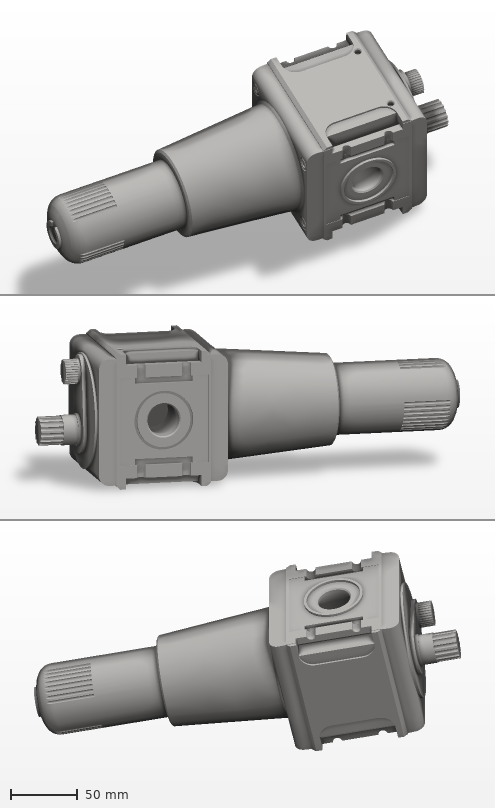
import cadquery as cq
import math


body_half_width = 50.0
body_half_height = 51.5
body_half_length = 36.5
shoulder_half_height = 49.0
shoulder_slope_run = 3.0
ridge_inset = 0.3

cap_half_length = 49.5
cap_half_height = 48.3
cap_root_half_width = 49.1
cap_tip_half_width = 48.45
cap_corner_radius = 7.7

seat_half_length = 29.0
seat_inner_x = 28.5
seat_floor_z = 50.0
seat_corner_radius = 11.0
slot_wall_x = 38.3
slot_floor_x = 42.5
slot_floor_z = 36.5
lip_edge_x = 44.0
lip_z = 43.0
notch_half_length = 22.2
notch_bottom_z = 28.5
notch_depth = 3.2
clamp_groove_diameter = 6.8
clamp_groove_y = 17.5

face_half_length = 34.0
face_half_height = 33.5
face_recess = 0.3
port_diameter = 24.5
port_depth = 38.5
port_chamfer = 1.0
seal_outer_diameter = 45.0
seal_inner_diameter = 41.0
seal_groove_depth = 2.0
seal_projection = 1.5

vent_diameter = 4.8
vent_mouth_diameter = 6.5
vent_depth = 4.8
vent_x = 29.0
vent_y = 28.5

screw_x = 42.0
screw_z = 33.0
screw_bore_diameter = 11.0
screw_head_diameter = 9.0
screw_bore_depth = 3.2
screw_socket_size = 6.5

guard_flare_radius = 44.28
guard_root_radius = 42.2
guard_flare_length = 2.0
guard_tip_radius = 34.6
guard_rim_radius = 32.68
guard_end_y = -139.0
guard_rim_length = 1.3
bowl_radius = 27.0
bowl_round_start_y = -221.5
dome_radius = 21.75
dome_start_y = -231.5
drain_radius = 11.3
drain_root_y = -235.0
bowl_end_y = -237.0
drain_bore_diameter = 14.2
drain_key_width = 5.5

grip_start_y = -190.3
grip_end_y = -227.0
grip_patch_angles = (90, 210, 330)
grip_flutes = 8
grip_flute_pitch = 8.2
grip_flute_diameter = 2.3

cover_radius = 43.8
cover_thickness = 2.0
plate_thickness = 3.0
adjuster_z = -14.2
adjuster_plate_radius = 18.0
filler_z = 30.3
filler_plate_radius = 12.72

adjuster_flange_diameter = 24.5
adjuster_flange_thickness = 2.3
adjuster_sleeve_diameter = 23.0
adjuster_sleeve_end_y = 67.5
adjuster_grip_diameter = 22.0
adjuster_end_y = 85.0
adjuster_flutes = 15
adjuster_flute_diameter = 3.0

filler_diameter = 19.0
filler_grip_start_y = 56.0
filler_end_y = 65.7
filler_flutes = 30
filler_flute_diameter = 1.3


def box(x_range, y_range, z_range):
    size = [end - start for start, end in (x_range, y_range, z_range)]
    corner = (x_range[0], y_range[0], z_range[0])
    return cq.Workplane("XY").box(*size, centered=False).translate(corner)


def y_cylinder(diameter, y_start, y_end, x=0.0, z=0.0):
    """Cylinder along +Y from y_start to y_end."""
    plane = cq.Workplane("XZ", origin=(x, y_start, z))
    return plane.circle(diameter / 2).extrude(y_start - y_end)


def both_sides(shape, plane):
    return shape.union(shape.mirror(plane))


def make_block():
    middle = (
        cq.Workplane("XY")
        .box(2 * body_half_width, 2 * body_half_length, 2 * shoulder_half_height)
    )
    ridge_half_length = body_half_length - shoulder_slope_run
    ridge = (
        cq.Workplane("YZ")
        .polyline([
            (-body_half_length, shoulder_half_height),
            (-ridge_half_length, body_half_height),
            (ridge_half_length, body_half_height),
            (body_half_length, shoulder_half_height),
        ])
        .close()
        .extrude(body_half_width - ridge_inset, both=True)
    )
    cap = (
        cq.Workplane("XY")
        .polyline([
            (-cap_root_half_width, body_half_length),
            (cap_root_half_width, body_half_length),
            (cap_tip_half_width, cap_half_length),
            (-cap_tip_half_width, cap_half_length),
        ])
        .close()
        .extrude(cap_half_height, both=True)
        .faces(">Y")
        .edges("|X")
        .fillet(cap_corner_radius)
    )
    return middle.union(both_sides(ridge, "XY")).union(both_sides(cap, "XZ"))


def make_clamp_seat():
    """Everything cut away along the edge of the block at +X and +Z."""
    outside_x = body_half_width + 3.2
    outside_z = body_half_height + 3.2
    along = (-seat_half_length, seat_half_length)
    seat = (
        box((seat_inner_x, outside_x), along, (seat_floor_z, outside_z))
        .edges("|Z and <X")
        .fillet(seat_corner_radius)
    )
    slot = (
        cq.Workplane("XZ")
        .polyline([
            (slot_wall_x, outside_z),
            (slot_wall_x, slot_floor_z),
            (slot_floor_x, slot_floor_z),
            (lip_edge_x, lip_z),
            (outside_x, lip_z),
            (outside_x, outside_z),
        ])
        .close()
        .extrude(seat_half_length, both=True)
    )
    notch = box(
        (body_half_width - notch_depth, outside_x),
        (-notch_half_length, notch_half_length),
        (notch_bottom_z, face_half_height),
    )
    grooves = (
        cq.Workplane("XY", origin=(body_half_width, 0, notch_bottom_z))
        .pushPoints([(0, -clamp_groove_y), (0, clamp_groove_y)])
        .circle(clamp_groove_diameter / 2)
        .extrude(lip_z - notch_bottom_z)
    )
    grooves = grooves.intersect(
        box((0, outside_x), along, (face_half_height, outside_z))
    )
    return seat.union(slot).union(notch).union(grooves)


def make_seal_ring(x_start, x_end):
    plane = cq.Workplane("YZ", origin=(x_start, 0, 0))
    ring = plane.circle(seal_outer_diameter / 2).circle(seal_inner_diameter / 2)
    return ring.extrude(x_end - x_start)


def make_port_face():
    """Face recess, port and seal groove cut into the +X side."""
    floor_x = body_half_width - face_recess
    recess = box(
        (floor_x, body_half_width),
        (-face_half_length, face_half_length),
        (-face_half_height, face_half_height),
    )
    bore_radius = port_diameter / 2
    port = (
        cq.Workplane("XY")
        .polyline([
            (floor_x - port_depth, 0),
            (floor_x - port_depth, bore_radius),
            (floor_x - port_chamfer, bore_radius),
            (floor_x, bore_radius + port_chamfer),
            (floor_x, 0),
        ])
        .close()
        .revolve(360, (0, 0, 0), (1, 0, 0))
    )
    groove = make_seal_ring(body_half_width - seal_groove_depth, body_half_width)
    return recess.union(port).union(groove)


def make_vents():
    chamfer = (vent_mouth_diameter - vent_diameter) / 2
    vent = (
        cq.Workplane("XZ")
        .polyline([
            (0, body_half_height - vent_depth),
            (vent_diameter / 2, body_half_height - vent_depth),
            (vent_diameter / 2, body_half_height - chamfer),
            (vent_mouth_diameter / 2, body_half_height),
            (0, body_half_height),
        ])
        .close()
        .revolve(360, (0, 0, 0), (0, 1, 0))
        .translate((vent_x, vent_y, 0))
    )
    return both_sides(vent, "YZ")


def make_screw_recesses():
    """Ring gap around each screw head and the hexagon socket in it."""
    plane = cq.Workplane("XZ", origin=(0, -cap_half_length, 0))
    places = [(x, z) for x in (-screw_x, screw_x) for z in (-screw_z, screw_z)]
    gaps = (
        plane.pushPoints(places)
        .circle(screw_bore_diameter / 2)
        .circle(screw_head_diameter / 2)
        .extrude(-screw_bore_depth)
    )
    sockets = plane.pushPoints(places).polygon(6, screw_socket_size).extrude(-screw_bore_depth)
    return gaps.union(sockets)


def make_bowl():
    """Guard cone, bowl and drain boss turned about the Y axis."""
    return (
        cq.Workplane("ZY")
        .moveTo(0, -cap_half_length)
        .lineTo(guard_flare_radius, -cap_half_length)
        .lineTo(guard_root_radius, -cap_half_length - guard_flare_length)
        .lineTo(guard_tip_radius, guard_end_y + guard_rim_length)
        .lineTo(guard_rim_radius, guard_end_y)
        .lineTo(bowl_radius, guard_end_y)
        .lineTo(bowl_radius, bowl_round_start_y)
        .tangentArcPoint((dome_radius, dome_start_y), relative=False)
        .tangentArcPoint((drain_radius, drain_root_y), relative=False)
        .lineTo(drain_radius, bowl_end_y)
        .lineTo(0, bowl_end_y)
        .close()
        .revolve(360, (0, 0, 0), (0, 1, 0))
    )


def make_drain_keyhole():
    bore = y_cylinder(drain_bore_diameter, bowl_end_y, drain_root_y)
    key = box(
        (-drain_key_width / 2, drain_key_width / 2),
        (bowl_end_y, drain_root_y),
        (0, drain_radius),
    )
    return bore.union(key)


def make_flutes(radius, flute_diameter, y_start, y_end, angles):
    """Round-bottomed flutes along Y, at angles about the Y axis measured from +X towards +Z."""
    centres = [
        (radius * math.cos(math.radians(angle)), radius * math.sin(math.radians(angle)))
        for angle in angles
    ]
    return (
        cq.Workplane("XZ", origin=(0, y_start, 0))
        .pushPoints(centres)
        .circle(flute_diameter / 2)
        .extrude(y_start - y_end)
    )


def make_grip_flutes():
    offsets = [(i - (grip_flutes - 1) / 2) * grip_flute_pitch for i in range(grip_flutes)]
    angles = [centre + offset for centre in grip_patch_angles for offset in offsets]
    return make_flutes(bowl_radius, grip_flute_diameter, grip_end_y, grip_start_y, angles)


def make_knob_plate(y_start):
    """Plate bounded by a large and a small arc and their two common tangents."""
    tangent_angle = math.asin((adjuster_plate_radius - filler_plate_radius) / (filler_z - adjuster_z))
    across = math.cos(tangent_angle)
    along = math.sin(tangent_angle)
    large_x = adjuster_plate_radius * across
    large_z = adjuster_z + adjuster_plate_radius * along
    small_x = filler_plate_radius * across
    small_z = filler_z + filler_plate_radius * along
    return (
        cq.Workplane("XZ", origin=(0, y_start, 0))
        .moveTo(large_x, large_z)
        .lineTo(small_x, small_z)
        .threePointArc((0, filler_z + filler_plate_radius), (-small_x, small_z))
        .lineTo(-large_x, large_z)
        .threePointArc((0, adjuster_z - adjuster_plate_radius), (large_x, large_z))
        .close()
        .extrude(-plate_thickness)
    )


def make_fluted_knob(diameter, y_start, y_end, flute_count, flute_diameter):
    angles = [90 + i * 360 / flute_count for i in range(flute_count)]
    flutes = make_flutes(diameter / 2, flute_diameter, y_start, y_end, angles)
    return y_cylinder(diameter, y_start, y_end).cut(flutes)


def make_adjuster(y_start):
    flange_end_y = y_start + adjuster_flange_thickness
    flange = y_cylinder(adjuster_flange_diameter, y_start, flange_end_y)
    sleeve = y_cylinder(adjuster_sleeve_diameter, flange_end_y, adjuster_sleeve_end_y)
    grip = make_fluted_knob(
        adjuster_grip_diameter, adjuster_sleeve_end_y, adjuster_end_y,
        adjuster_flutes, adjuster_flute_diameter,
    )
    return flange.union(sleeve).union(grip).translate((0, 0, adjuster_z))


def make_filler_plug(y_start):
    neck = y_cylinder(filler_diameter, y_start, filler_grip_start_y)
    grip = make_fluted_knob(
        filler_diameter, filler_grip_start_y, filler_end_y, filler_flutes, filler_flute_diameter
    )
    return neck.union(grip).translate((0, 0, filler_z))


def make_back_cover():
    plate_y = cap_half_length + cover_thickness
    knob_y = plate_y + plate_thickness
    cover = y_cylinder(2 * cover_radius, cap_half_length, plate_y)
    cover = cover.union(make_knob_plate(plate_y))
    return cover.union(make_adjuster(knob_y)).union(make_filler_plug(knob_y))


def make_housing():
    block = make_block()
    block = block.cut(both_sides(both_sides(make_clamp_seat(), "YZ"), "XY"))
    block = block.cut(both_sides(make_port_face(), "YZ"))
    block = block.cut(make_vents())
    block = block.cut(make_screw_recesses())
    bowl = make_bowl().cut(make_drain_keyhole()).cut(make_grip_flutes())
    return block.union(bowl).union(make_back_cover())


housing = make_housing()

seal = make_seal_ring(body_half_width - seal_groove_depth, body_half_width + seal_projection)

result = cq.Compound.makeCompound([housing.val(), seal.val()])